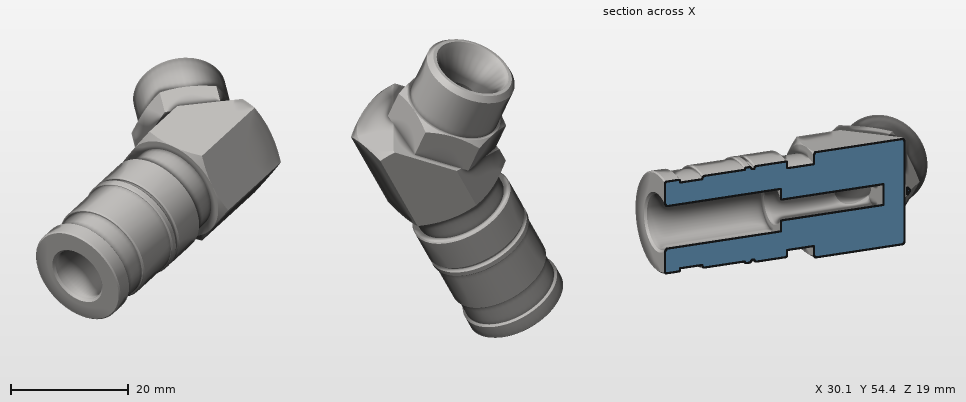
import cadquery as cq
import math

tube_radius = 8.0
plug_radius = 8.8
neck_radius = 8.35
collar_radius = 9.15
groove_radius = 8.7
flange_length = 2.95
neck_end = 7.1
plug_end = 14.95
ring_end = 16.0
groove_bottom = 16.45
collar_start = 16.8
collar_end = 23.0
edge_chamfer = 0.2

hex_chamfer_angle = 30
body_flats = 19.0
body_start = 27.9
body_end = 45.05
nut_flats = 16.95
nut_length = 5.95

bend_angle = 45
bend_y = 35.3
seat_distance = 5.0
spigot_end = 14.85
spigot_chamfer = 0.85

socket_radius = 4.85
socket_depth = 21.75
socket_chamfer = 0.4
main_bore_radius = 3.55
main_bore_end = 41.05
angled_bore_radius = 2.85
cone_mouth_radius = 6.55
cone_depth = 6.0


def turned(profile):
    """Revolve (radius, y) points about the Y axis."""
    return cq.Workplane("XY").polyline(profile).close().revolve(360, (0, 0, 0), (0, 1, 0))


def hex_prism(flats, start, end, chamfer_start):
    """Hexagon along +Y, its end corners turned off down to the flats."""
    corner_radius = flats / math.sqrt(3)
    flat_radius = flats / 2
    drop = (corner_radius - flat_radius) * math.tan(math.radians(hex_chamfer_angle))
    prism = (
        cq.Workplane("XZ", origin=(0, start, 0))
        .polygon(6, 2 * corner_radius)
        .extrude(start - end)
    )
    start_profile = [(corner_radius, start)]
    if chamfer_start:
        start_profile = [(flat_radius, start), (corner_radius, start + drop)]
    envelope = turned(
        [(0, start)] + start_profile + [(corner_radius, end - drop), (flat_radius, end), (0, end)]
    )
    return prism.intersect(envelope)


def to_angled_leg(shape):
    """Move a shape built along +Y from the mitre face onto the angled leg."""
    return (
        shape.translate((0, seat_distance, 0))
        .rotate((0, 0, 0), (0, 0, 1), bend_angle)
        .translate((0, bend_y, 0))
    )


def straight_leg():
    return turned([
        (0, 0),
        (plug_radius - edge_chamfer, 0),
        (plug_radius, edge_chamfer),
        (plug_radius, flange_length - edge_chamfer),
        (plug_radius - edge_chamfer, flange_length),
        (neck_radius, flange_length),
        (neck_radius, neck_end),
        (plug_radius - edge_chamfer, neck_end),
        (plug_radius, neck_end + edge_chamfer),
        (plug_radius, plug_end),
        (collar_radius - edge_chamfer, plug_end),
        (collar_radius, plug_end + edge_chamfer),
        (collar_radius, ring_end),
        (groove_radius, groove_bottom),
        (groove_radius, collar_start),
        (collar_radius - edge_chamfer, collar_start),
        (collar_radius, collar_start + edge_chamfer),
        (collar_radius, collar_end - edge_chamfer),
        (collar_radius - edge_chamfer, collar_end),
        (tube_radius, collar_end),
        (tube_radius, body_start),
        (0, body_start),
    ])


def mitred_body():
    body = hex_prism(body_flats, body_start, body_end, True)
    cutter_size = 2 * body_end
    beyond_mitre = cq.Workplane("XY").box(cutter_size, cutter_size, cutter_size)
    beyond_mitre = beyond_mitre.translate((0, cutter_size / 2, 0))
    return body.cut(to_angled_leg(beyond_mitre))


def angled_leg():
    nut = hex_prism(nut_flats, 0, nut_length, False)
    spigot = turned([
        (0, 0),
        (tube_radius, 0),
        (tube_radius, spigot_end - spigot_chamfer),
        (tube_radius - spigot_chamfer, spigot_end),
        (0, spigot_end),
    ])
    return to_angled_leg(nut.union(spigot))


def straight_bore():
    return turned([
        (0, 0),
        (socket_radius + socket_chamfer, 0),
        (socket_radius, socket_chamfer),
        (socket_radius, socket_depth),
        (main_bore_radius, socket_depth),
        (main_bore_radius, main_bore_end),
        (0, main_bore_end),
    ])


def angled_bore():
    return to_angled_leg(turned([
        (0, -seat_distance),
        (angled_bore_radius, -seat_distance),
        (angled_bore_radius, spigot_end - cone_depth),
        (cone_mouth_radius, spigot_end),
        (0, spigot_end),
    ]))


result = straight_leg().union(mitred_body()).union(angled_leg())
result = result.cut(straight_bore()).cut(angled_bore())